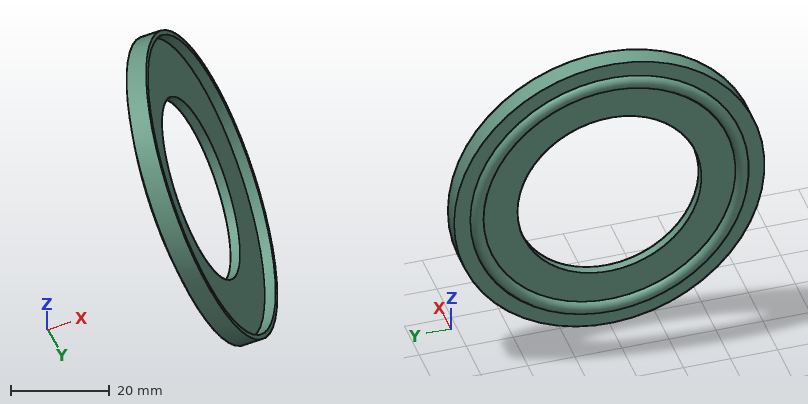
import cadquery as cq

outer_radius = 33.0
bore_radius = 19.55
total_thickness = 5.8
bead_height = 1.45
bead_inner_radius = 26.8
bead_outer_radius = 29.6
bore_wall_length = 2.1
bore_lip_rise = 0.1
rim_width = 1.0

back_x = total_thickness / 2
crest_x = -total_thickness / 2
face_x = crest_x + bead_height
bore_front_x = face_x - bore_lip_rise
recess_floor_x = bore_front_x + bore_wall_length
recess_radius = outer_radius - rim_width
bead_mid_radius = (bead_inner_radius + bead_outer_radius) / 2

section = (
    cq.Workplane("XY")
    .moveTo(recess_floor_x, bore_radius)
    .lineTo(recess_floor_x, recess_radius)
    .lineTo(back_x, recess_radius)
    .lineTo(back_x, outer_radius)
    .lineTo(face_x, outer_radius)
    .lineTo(face_x, bead_outer_radius)
    .threePointArc((crest_x, bead_mid_radius), (face_x, bead_inner_radius))
    .lineTo(bore_front_x, bore_radius)
    .close()
)

result = section.revolve(360, (0, 0, 0), (1, 0, 0))